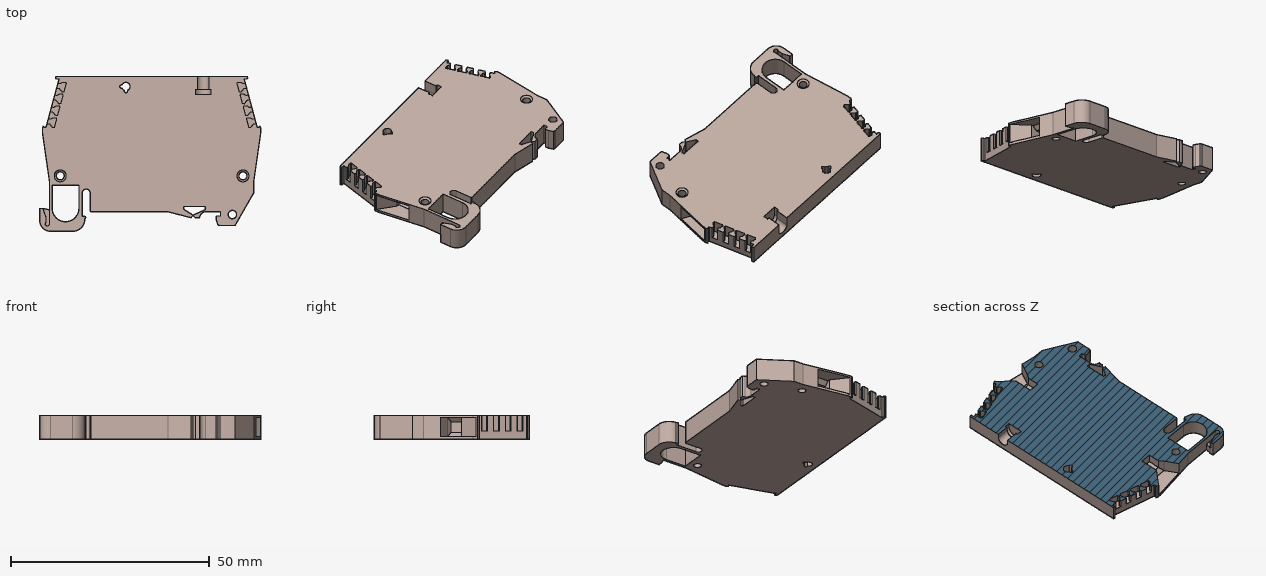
import cadquery as cq
import math

TOTAL_WIDTH = 55.65
TOTAL_HEIGHT = 39.0
THICKNESS = 6.0

BODY_LEFT = 0.68
CENTRE_X = (BODY_LEFT + TOTAL_WIDTH) / 2
SHOULDER_Y = 26.2
SHOULDER_RIDGE = 0.25
SIDE_BREAK_Y = 24.9
WAIST_LEFT = 2.48
WAIST_RIGHT = 2 * CENTRE_X - WAIST_LEFT
WAIST_Y = 12.4
BASE_Y = 4.9
BANK_TOP = (4.86, 38.32)
BANK_BOTTOM = (1.65, 26.4)

HOOK_TOP_Y = 5.8
HOOK_RIM_WIDTH = 0.95
HOOK_INNER_Y = 5.45
FOOT_LEFT_RADIUS = 2.8
FOOT_RIGHT_RADIUS = 3.1
FOOT_FLAT_END_X = 8.3
CATCH_TOP_Y = 3.87
CATCH_FLAT_END_X = 11.35
CATCH_TIP = (11.62, 3.52)
RAIL_SLOT_LEFT = 10.74
RAIL_SLOT_RIGHT = 12.69
RAIL_SLOT_TOP_Y = 10.63
RAIL_SLOT_CORNER_RADIUS = 0.25

LATCH_GULLET_START = (41.7, BASE_Y)
LATCH_GULLET_MID = (40.85, 4.6)
LATCH_GULLET_END = (40.4, 3.95)

WINDOW_LEFT = 3.2
WINDOW_RIGHT = 9.86
WINDOW_TOP_Y = 11.61
WINDOW_BOTTOM_Y = 2.47

SLIT_DEPTH = 4.0
SLIT_LIP = (0.9, 5.5)
SLIT_WALL_X = 1.61
SLIT_WALL_TOP_Y = 3.6
SLIT_WALL_BOTTOM_Y = 2.4
SLIT_BULB_RADIUS = 0.54
SLIT_BULB_Y = 1.92

SCREW_HOLE_LEFT = (5.2, 13.97)
SCREW_HOLE_RADIUS = 0.98
SCREW_SINK_RADIUS = 1.5
SCREW_SINK_DEPTH = 0.4
FOOT_HOLE = (48.47, 4.24)
FOOT_HOLE_RADIUS = 1.03
KEYHOLE = (21.7, 36.43)
KEYHOLE_RADIUS = 1.03
KEYHOLE_LOBE_REACH = 1.53
KEYHOLE_LOBE_RADIUS = 0.4

CHANNEL_X = 41.15
CHANNEL_AXIS_Z = THICKNESS / 2
SHANK_RADIUS = 1.49
HEAD_RADIUS = 1.98
HEAD_TOP_Y = 35.64
HEAD_BOTTOM_Y = 34.42

MARKER_COUNT = 4
MARKER_PITCH_Y = 2.98
MARKER_FLOOR_Z = 2.03
MARKER_FIRST = (4.52, 37.5)

FUNNEL_BOTTOM_Z = 0.69
FUNNEL_TOP_Z = 5.5
FUNNEL_MOUTH_TOP_Y = 25.6
FUNNEL_MOUTH_BOTTOM_Y = 16.64
FUNNEL_CORNER_X = 4.6
FUNNEL_NECK_X = 5.25
FUNNEL_NECK_BOTTOM_Y = 18.47
FUNNEL_END_X = 6.4
WIRE_BORE_TOP_Y = 21.98
WIRE_BORE_BOTTOM_Y = 19.3
WIRE_BORE_BOTTOM_Z = 1.71
WIRE_BORE_TOP_Z = 4.4
WIRE_BORE_DEPTH = 3.0


def mirrored(point):
    """The point reflected about the centre line of the upper body."""
    return (2 * CENTRE_X - point[0], point[1])


def mirrored_solid(solid):
    """The solid reflected about the centre line of the upper body."""
    return solid.mirror("YZ", (CENTRE_X, 0, 0))


def side_x(y):
    """X of the left flank at height y, below its upper break."""
    fraction = (SIDE_BREAK_Y - y) / (SIDE_BREAK_Y - WAIST_Y)
    return BODY_LEFT + fraction * (WAIST_LEFT - BODY_LEFT)


def body():
    """Housing plate with its rail foot and latch, extruded over the full thickness."""
    flank = [
        (WAIST_LEFT, WAIST_Y),
        (BODY_LEFT, SIDE_BREAK_Y),
        (BODY_LEFT, SHOULDER_Y - SHOULDER_RIDGE),
        (0.92, SHOULDER_Y + SHOULDER_RIDGE),
        (1.2, SHOULDER_Y),
        (1.5, SHOULDER_Y),
        BANK_BOTTOM,
        BANK_TOP,
        (4.13, 38.32),
        (3.98, 38.6),
        (4.13, TOTAL_HEIGHT),
    ]
    right_foot = [
        (WAIST_RIGHT, 9.66),
        (49.14, 1.43),
        (45.3, 1.43),
        (44.8, 1.6),
        (44.4, 2.9),
        (44.4, 3.7),
        (44.6, 3.93),
        (45.48, 3.93),
        (45.48, BASE_Y),
        LATCH_GULLET_START,
    ]
    latch_tip = [
        (40.2, 3.39),
        (39.14, 3.39),
        (38.56, 4.02),
        (38.1, 3.42),
        (32.32, BASE_Y),
    ]
    slot_radius = (RAIL_SLOT_RIGHT - RAIL_SLOT_LEFT) / 2
    slot_centre = (RAIL_SLOT_LEFT + slot_radius, RAIL_SLOT_TOP_Y - slot_radius)
    corner = RAIL_SLOT_CORNER_RADIUS
    diagonal = math.sqrt(0.5)
    left_arc_inset = FOOT_LEFT_RADIUS * (1 - diagonal)
    right_arc_inset = FOOT_RIGHT_RADIUS * (1 - diagonal)
    right_arc_x = FOOT_FLAT_END_X + FOOT_RIGHT_RADIUS * diagonal

    right_flank = [mirrored(point) for point in reversed(flank)]
    outline = cq.Workplane("XY").polyline(flank + right_flank + right_foot)
    outline = (
        outline.threePointArc(LATCH_GULLET_MID, LATCH_GULLET_END)
        .polyline(latch_tip, includeCurrent=True)
        .lineTo(RAIL_SLOT_RIGHT + corner, BASE_Y)
        .lineTo(RAIL_SLOT_RIGHT, BASE_Y + corner)
        .lineTo(RAIL_SLOT_RIGHT, slot_centre[1])
        .threePointArc((slot_centre[0], RAIL_SLOT_TOP_Y), (RAIL_SLOT_LEFT, slot_centre[1]))
        .lineTo(RAIL_SLOT_LEFT, CATCH_TOP_Y)
        .lineTo(CATCH_FLAT_END_X, CATCH_TOP_Y)
        .lineTo(*CATCH_TIP)
        .lineTo(FOOT_FLAT_END_X + FOOT_RIGHT_RADIUS, FOOT_RIGHT_RADIUS)
        .threePointArc((right_arc_x, right_arc_inset), (FOOT_FLAT_END_X, 0))
        .lineTo(FOOT_LEFT_RADIUS, 0)
        .threePointArc((left_arc_inset, left_arc_inset), (0, FOOT_LEFT_RADIUS))
        .lineTo(0, HOOK_TOP_Y)
        .lineTo(HOOK_RIM_WIDTH, HOOK_TOP_Y)
        .lineTo(WAIST_LEFT, HOOK_INNER_Y)
        .close()
    )
    return outline.extrude(THICKNESS)


def window():
    """Round-bottomed window in the foot."""
    radius = (WINDOW_RIGHT - WINDOW_LEFT) / 2
    arc_y = WINDOW_BOTTOM_Y + radius
    return (
        cq.Workplane("XY")
        .moveTo(WINDOW_LEFT, WINDOW_TOP_Y)
        .lineTo(WINDOW_RIGHT, WINDOW_TOP_Y)
        .lineTo(WINDOW_RIGHT, arc_y)
        .threePointArc((WINDOW_LEFT + radius, WINDOW_BOTTOM_Y), (WINDOW_LEFT, arc_y))
        .close()
        .extrude(THICKNESS)
    )


def foot_slit():
    """Blind slit between the hook and the foot, ending in a rounded bulb."""
    bulb_x = WAIST_LEFT - SLIT_BULB_RADIUS
    return (
        cq.Workplane("XY", origin=(0, 0, THICKNESS - SLIT_DEPTH))
        .moveTo(WAIST_LEFT, HOOK_TOP_Y)
        .lineTo(HOOK_RIM_WIDTH, HOOK_TOP_Y)
        .lineTo(*SLIT_LIP)
        .lineTo(SLIT_WALL_X, SLIT_WALL_TOP_Y)
        .lineTo(SLIT_WALL_X, SLIT_WALL_BOTTOM_Y)
        .lineTo(bulb_x - SLIT_BULB_RADIUS, SLIT_BULB_Y)
        .threePointArc((bulb_x, SLIT_BULB_Y - SLIT_BULB_RADIUS), (WAIST_LEFT, SLIT_BULB_Y))
        .close()
        .extrude(SLIT_DEPTH)
    )


def latch_opening():
    """Funnel-shaped opening above the spring latch."""
    outline = [(36.28, 6.21), (36.28, 5.57), (38.56, 4.12), (41.65, 5.5), (41.65, 6.21)]
    return cq.Workplane("XY").polyline(outline).close().extrude(THICKNESS)


def screw_hole(centre):
    """Through hole with a shallow conical countersink in the top face."""
    bore = cq.Workplane("XY").center(*centre).circle(SCREW_HOLE_RADIUS).extrude(THICKNESS)
    sink = (
        cq.Workplane("XY", origin=(*centre, THICKNESS - SCREW_SINK_DEPTH))
        .circle(SCREW_HOLE_RADIUS)
        .workplane(offset=SCREW_SINK_DEPTH)
        .circle(SCREW_SINK_RADIUS)
        .loft()
    )
    return bore.union(sink)


def keyhole():
    """Round hole with one lobe toward -X and one toward -Y."""
    hole = cq.Workplane("XY").center(*KEYHOLE).circle(KEYHOLE_RADIUS).extrude(THICKNESS)
    for angle in (180, 270):
        lobe = (
            cq.Workplane("XY")
            .center((KEYHOLE_LOBE_REACH - KEYHOLE_LOBE_RADIUS) / 2, 0)
            .slot2D(KEYHOLE_LOBE_REACH + KEYHOLE_LOBE_RADIUS, 2 * KEYHOLE_LOBE_RADIUS)
            .extrude(THICKNESS)
            .rotate((0, 0, 0), (0, 0, 1), angle)
            .translate((*KEYHOLE, 0))
        )
        hole = hole.union(lobe)
    return hole


def foot_hole():
    """Plain through hole in the right foot."""
    return cq.Workplane("XY").center(*FOOT_HOLE).circle(FOOT_HOLE_RADIUS).extrude(THICKNESS)


def channel_step(radius, bottom_y, top_y):
    """U-shaped groove along Y: half-round floor with upright walls to the top face."""
    return (
        cq.Workplane("XZ", origin=(CHANNEL_X, top_y, CHANNEL_AXIS_Z))
        .moveTo(-radius, 0)
        .threePointArc((0, -radius), (radius, 0))
        .lineTo(radius, THICKNESS - CHANNEL_AXIS_Z)
        .lineTo(-radius, THICKNESS - CHANNEL_AXIS_Z)
        .close()
        .extrude(top_y - bottom_y)
    )


def marker_pocket(index):
    """One blind marker pocket on the left shoulder; the wavy sides hold a snap-in tag."""
    lean = (BANK_TOP[0] - BANK_BOTTOM[0]) / (BANK_TOP[1] - BANK_BOTTOM[1])
    outline = [
        (-0.5, 0.2),
        (0, 0),
        (0.4, -0.33),
        (0.7, -0.33),
        (1.25, 0),
        (2.05, 0),
        (2.2, -0.25),
        (1.6, -2.4),
        (1.15, -2.42),
        (0.45, -1.6),
        (0.2, -1.5),
        (-0.9, -1.5),
    ]
    drop = index * MARKER_PITCH_Y
    start = (MARKER_FIRST[0] - lean * drop, MARKER_FIRST[1] - drop)
    return (
        cq.Workplane("XY", origin=(*start, MARKER_FLOOR_Z))
        .polyline(outline)
        .close()
        .extrude(THICKNESS - MARKER_FLOOR_Z)
    )


def wire_funnel():
    """Wire entry in the left flank: flared mouth, tapered neck and a square bore."""
    mouth_bottom_x = side_x(FUNNEL_MOUTH_BOTTOM_Y)

    mouth = (
        cq.Workplane("XY", origin=(0, 0, FUNNEL_BOTTOM_Z))
        .moveTo(0, FUNNEL_MOUTH_TOP_Y)
        .lineTo(BODY_LEFT, FUNNEL_MOUTH_TOP_Y)
        .lineTo(FUNNEL_CORNER_X, WIRE_BORE_TOP_Y)
        .lineTo(FUNNEL_NECK_X, WIRE_BORE_TOP_Y)
        .lineTo(FUNNEL_NECK_X, FUNNEL_NECK_BOTTOM_Y)
        .lineTo(mouth_bottom_x, FUNNEL_MOUTH_BOTTOM_Y)
        .lineTo(0, FUNNEL_MOUTH_BOTTOM_Y)
        .close()
        .extrude(FUNNEL_TOP_Z - FUNNEL_BOTTOM_Z)
    )
    neck_start = [
        (FUNNEL_NECK_BOTTOM_Y, FUNNEL_BOTTOM_Z),
        (WIRE_BORE_TOP_Y, FUNNEL_BOTTOM_Z),
        (WIRE_BORE_TOP_Y, FUNNEL_TOP_Z),
        (FUNNEL_NECK_BOTTOM_Y, FUNNEL_TOP_Z),
    ]
    bore_section = [
        (WIRE_BORE_BOTTOM_Y, WIRE_BORE_BOTTOM_Z),
        (WIRE_BORE_TOP_Y, WIRE_BORE_BOTTOM_Z),
        (WIRE_BORE_TOP_Y, WIRE_BORE_TOP_Z),
        (WIRE_BORE_BOTTOM_Y, WIRE_BORE_TOP_Z),
    ]
    neck = (
        cq.Workplane("YZ", origin=(FUNNEL_NECK_X, 0, 0))
        .polyline(neck_start)
        .close()
        .workplane(offset=FUNNEL_END_X - FUNNEL_NECK_X)
        .polyline(bore_section)
        .close()
        .loft(ruled=True)
    )
    bore = (
        cq.Workplane("YZ", origin=(FUNNEL_END_X, 0, 0))
        .polyline(bore_section)
        .close()
        .extrude(WIRE_BORE_DEPTH)
    )
    return mouth.union(neck).union(bore)


result = body()
for cutter in (window(), foot_slit(), latch_opening(), keyhole(), foot_hole()):
    result = result.cut(cutter)

result = result.cut(channel_step(SHANK_RADIUS, HEAD_TOP_Y, TOTAL_HEIGHT))
result = result.cut(channel_step(HEAD_RADIUS, HEAD_BOTTOM_Y, HEAD_TOP_Y))

for centre in (SCREW_HOLE_LEFT, mirrored(SCREW_HOLE_LEFT)):
    result = result.cut(screw_hole(centre))

symmetric_pockets = [wire_funnel()] + [marker_pocket(i) for i in range(MARKER_COUNT)]
for pocket in symmetric_pockets:
    result = result.cut(pocket).cut(mirrored_solid(pocket))